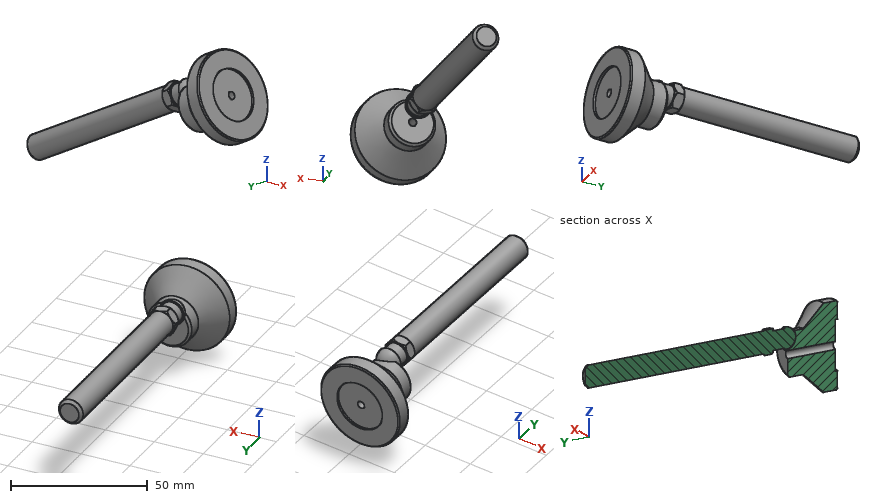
import cadquery as cq
import math

total_length = 106.1

foot_diameter = 35.0
foot_edge_chamfer = 0.5
rim_top = 5.9
neck_diameter = 18.0
neck_bottom = 14.5
neck_top = 21.0
neck_chamfer = 1.0
recess_diameter = 20.1
recess_depth = 1.0
bore_diameter = 3.0

stud_x = -1.9
stud_z = 6.6
stud_turn = 7.0
rod_diameter = 10.0
rod_end_chamfer = 1.2
shank_diameter = 8.8
ball_radius = rod_diameter / 2
ball_center_y = 22.3
hex_bottom = 27.1
hex_top = 31.2
hex_across_flats = rod_diameter
hex_across_corners = hex_across_flats / math.cos(math.pi / 6)
hex_chamfer = 0.7


def cylinder(diameter, bottom, top):
    """Cylinder about the Y axis between two heights."""
    return (
        cq.Workplane("XZ", origin=(0, bottom, 0))
        .circle(diameter / 2)
        .extrude(bottom - top)
    )


def make_hex():
    """Wrench hexagon with its corners turned off by a cone at each end."""
    prism = (
        cq.Workplane("XZ", origin=(0, hex_bottom, 0))
        .polygon(6, hex_across_corners)
        .extrude(hex_bottom - hex_top)
    )
    envelope = cylinder(hex_across_corners, hex_bottom, hex_top).faces("<Y or >Y").chamfer(hex_chamfer)
    return prism.intersect(envelope)


def make_ball_end():
    """Half ball whose flat side faces the shank."""
    return (
        cq.Workplane("XY")
        .moveTo(0, ball_center_y)
        .lineTo(ball_radius, ball_center_y)
        .radiusArc((0, ball_center_y - ball_radius), ball_radius)
        .close()
        .revolve(360, (0, 0, 0), (0, 1, 0))
    )


def make_stud():
    """Rod, wrench hexagon, shank and ball end in one solid."""
    rod = cylinder(rod_diameter, hex_top, total_length).faces(">Y").chamfer(rod_end_chamfer)
    shank = cylinder(shank_diameter, ball_center_y, hex_bottom)
    return (
        rod.union(make_hex())
        .union(shank)
        .union(make_ball_end())
        .rotate((0, 0, 0), (0, 1, 0), stud_turn)
        .translate((stud_x, 0, stud_z))
    )


def make_foot(stud):
    """Conical foot with a base recess, a through bore and a seat for the ball end."""
    foot_radius = foot_diameter / 2
    neck_radius = neck_diameter / 2
    body = (
        cq.Workplane("XY")
        .polyline([
            (0, 0),
            (foot_radius - foot_edge_chamfer, 0),
            (foot_radius, foot_edge_chamfer),
            (foot_radius, rim_top),
            (neck_radius, neck_bottom),
            (neck_radius, neck_top - neck_chamfer),
            (neck_radius - neck_chamfer, neck_top),
            (0, neck_top),
        ])
        .close()
        .revolve(360, (0, 0, 0), (0, 1, 0))
    )
    recess = cylinder(recess_diameter, 0, recess_depth)
    bore = cylinder(bore_diameter, 0, neck_top)
    return body.cut(recess).cut(bore).cut(stud)


stud = make_stud()
foot = make_foot(stud)
result = cq.Compound.makeCompound([foot.solids().val(), stud.solids().val()])